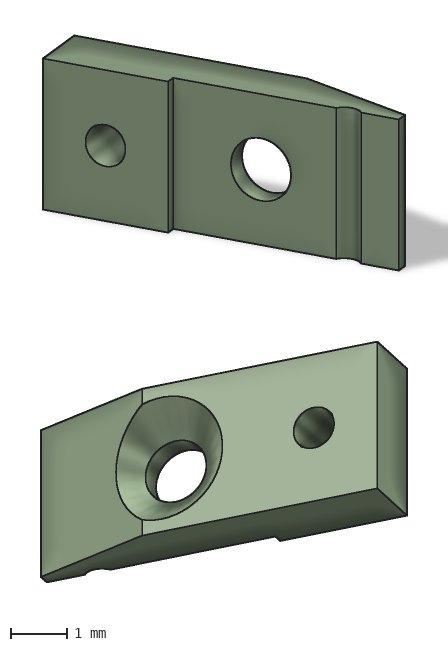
import cadquery as cq
import math

length = 7.0
thickness = 1.25
height = 2.9

pad_length = 2.5
step_depth = 0.2

taper_start = 4.635
tip_thickness = 0.25

small_hole_diameter = 0.8
small_hole_x = pad_length / 2
large_hole_diameter = 1.2
large_hole_x = 4.25

countersink_depth = 0.6
countersink_angle = 90.0

groove_x = 6.0
groove_width = 0.5
groove_depth = 0.125


def body():
    """Extrude the side profile, with the groove as an arc in the outline."""
    groove_start = groove_x - groove_width / 2
    groove_end = groove_x + groove_width / 2
    return (
        cq.Workplane("XY")
        .moveTo(0, 0)
        .lineTo(pad_length, 0)
        .lineTo(pad_length, step_depth)
        .lineTo(groove_start, step_depth)
        .threePointArc((groove_x, step_depth + groove_depth), (groove_end, step_depth))
        .lineTo(length, step_depth)
        .lineTo(length, step_depth + tip_thickness)
        .lineTo(taper_start, thickness)
        .lineTo(0, thickness)
        .close()
        .extrude(height)
    )


def through_hole(x, diameter):
    """Cylinder along Y that passes through the whole thickness."""
    return (
        cq.Workplane("XZ")
        .center(x, height / 2)
        .circle(diameter / 2)
        .extrude(-thickness)
    )


def countersink():
    """Cone along Y that widens from the large hole to the back face."""
    hole_radius = large_hole_diameter / 2
    mouth_radius = hole_radius + countersink_depth * math.tan(math.radians(countersink_angle / 2))
    return cq.Workplane(
        cq.Solid.makeCone(
            mouth_radius,
            hole_radius,
            countersink_depth,
            pnt=cq.Vector(large_hole_x, thickness, height / 2),
            dir=cq.Vector(0, -1, 0),
        )
    )


result = (
    body()
    .cut(through_hole(small_hole_x, small_hole_diameter))
    .cut(through_hole(large_hole_x, large_hole_diameter))
    .cut(countersink())
)